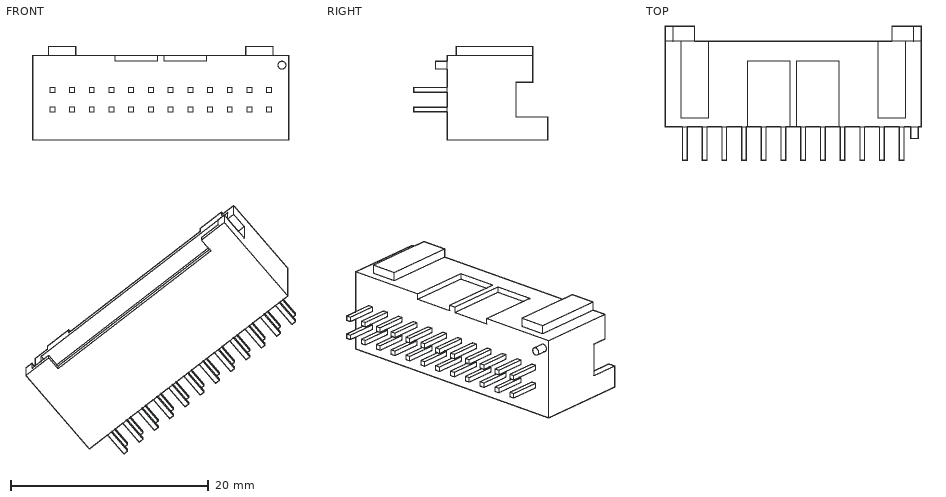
import cadquery as cq

BODY_LENGTH = 26.0
BODY_DEPTH = 8.7
BODY_HEIGHT = 8.6
HALF_LENGTH = BODY_LENGTH / 2

WALL = 0.8
LIP_REACH = 1.5
LIP_WIDTH = 3.0
NOTCH_DEPTH = 1.7
NOTCH_BOTTOM = 2.35
NOTCH_TOP = 5.85

RAIL_WIDTH = 2.8
RAIL_LENGTH = 7.8
RAIL_HEIGHT = 0.9
RAIL_CENTER_X = 10.0

RECESS_WIDTH = 4.3
RECESS_LENGTH = 6.65
RECESS_DEPTH = 0.6
RECESS_GAP = 0.7

PINS_PER_ROW = 12
PIN_PITCH = 2.0
PIN_SIZE = 0.5
PIN_TAIL = 3.4
LOWER_ROW_Z = 3.1
ROW_Z = (LOWER_ROW_Z, LOWER_ROW_Z + PIN_PITCH)

PEG_DIAMETER = 0.8
PEG_LENGTH = 1.2
PEG_END_INSET = 0.7
PEG_TOP_INSET = 1.0
PEG_X = HALF_LENGTH - PEG_END_INSET
PEG_Z = BODY_HEIGHT - PEG_TOP_INSET


def block(x_range, y_range, z_range):
    """Axis-aligned box spanning the given (low, high) ranges."""
    size = [high - low for low, high in (x_range, y_range, z_range)]
    corner = (x_range[0], y_range[0], z_range[0])
    return cq.Workplane("XY").box(*size, centered=False).translate(corner)


def mirrored_pair(shape):
    """The shape together with its mirror image across the YZ plane."""
    return shape.union(shape.mirror("YZ"))


def housing():
    """Block with two corner lips, hollowed from the mating side and notched through its end walls."""
    shell = block((-HALF_LENGTH, HALF_LENGTH), (0, BODY_DEPTH), (0, BODY_HEIGHT))
    lip_range_x = (-HALF_LENGTH, -HALF_LENGTH + LIP_WIDTH)
    lip_end = BODY_DEPTH + LIP_REACH
    notch_floor = BODY_DEPTH - NOTCH_DEPTH
    lip = block(lip_range_x, (BODY_DEPTH, lip_end), (0, NOTCH_BOTTOM))
    cavity = block(
        (-HALF_LENGTH + WALL, HALF_LENGTH - WALL),
        (notch_floor, lip_end),
        (WALL, BODY_HEIGHT - WALL),
    )
    notch = block(
        (-HALF_LENGTH, -HALF_LENGTH + WALL),
        (notch_floor, BODY_DEPTH),
        (NOTCH_BOTTOM, NOTCH_TOP),
    )
    return shell.union(mirrored_pair(lip)).cut(cavity).cut(mirrored_pair(notch))


def rail():
    """Right-hand rail, running from the mating edge towards the tail face."""
    return block(
        (RAIL_CENTER_X - RAIL_WIDTH / 2, RAIL_CENTER_X + RAIL_WIDTH / 2),
        (BODY_DEPTH - RAIL_LENGTH, BODY_DEPTH),
        (BODY_HEIGHT, BODY_HEIGHT + RAIL_HEIGHT),
    )


def recess():
    """Cutter for the right-hand top recess."""
    return block(
        (RECESS_GAP / 2, RECESS_GAP / 2 + RECESS_WIDTH),
        (0, RECESS_LENGTH),
        (BODY_HEIGHT - RECESS_DEPTH, BODY_HEIGHT),
    )


def pin(x, z):
    """Square tail pin centred on (x, z), standing out of the tail face."""
    half = PIN_SIZE / 2
    return block((x - half, x + half), (-PIN_TAIL, 0), (z - half, z + half))


def peg():
    """Round locating peg standing out of the tail face."""
    return (
        cq.Workplane("XZ")
        .center(PEG_X, PEG_Z)
        .circle(PEG_DIAMETER / 2)
        .extrude(PEG_LENGTH)
    )


def pins():
    """Both rows of tail pins, centred along the housing."""
    first_x = -(PINS_PER_ROW - 1) * PIN_PITCH / 2
    rows = cq.Workplane("XY")
    for z in ROW_Z:
        for index in range(PINS_PER_ROW):
            rows = rows.add(pin(first_x + index * PIN_PITCH, z))
    return rows.combine()


body = housing().union(mirrored_pair(rail())).cut(mirrored_pair(recess()))
result = body.union(pins()).union(peg())